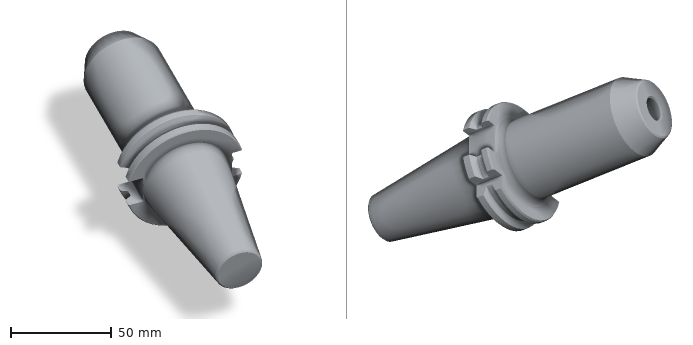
import cadquery as cq
import math

total_length = 168.4

body_radius = 20.97
nose_radius = 15.5
nose_cone_end = 12.5
nose_chamfer_length = 0.5
nose_chamfer_depth = 0.8

neck_radius = 20.9
neck_start = 76.8
neck_step = 0.8
collar_fillet = 3.0
collar_radius = 24.8
collar_chamfer = 0.2

flange_radius = 31.75
flange_start = 80.7
flange_width = 15.8
flange_end = flange_start + flange_width
front_edge_chamfer = 1.0
front_edge_depth = 0.5
rear_edge_chamfer = 0.5
groove_floor_radius = 28.3
groove_center = 88.66
groove_floor_width = 3.4
groove_flank_angle = 30.0
groove_bevel_length = 0.5
groove_bevel_depth = 0.2

taper_ratio = 7 / 24
tail_radius = 12.5
tail_chamfer = 0.8

slot_start = neck_start + neck_step
slot_length = flange_end - slot_start
slot_width = 16.2
slot_corner_radius = 0.7
deep_slot_floor = 22.7
shallow_slot_floor = 25.0
notch_offset = 18.5

bore_diameter = 12.0
bore_depth = 45.5
bore_chamfer = 0.8


def turned_body():
    """Revolve the full outer profile about X."""
    groove_half_floor = groove_floor_width / 2
    groove_depth = flange_radius - groove_floor_radius
    flank_slope = math.tan(math.radians(groove_flank_angle))
    groove_half_top = groove_half_floor + groove_depth * flank_slope
    groove_half_bevel = groove_half_top - groove_bevel_depth * flank_slope
    fillet_end_x = flange_start - collar_chamfer
    fillet_start_x = fillet_end_x - collar_fillet
    fillet_end_radius = neck_radius + collar_fillet
    arc_sag = collar_fillet * math.sin(math.radians(45))
    fillet_middle = (fillet_start_x + arc_sag, fillet_end_radius - arc_sag)
    taper_start_radius = tail_radius + (total_length - flange_end) * taper_ratio / 2
    tail_edge_radius = tail_radius + tail_chamfer * taper_ratio / 2

    profile = (
        cq.Workplane("XY")
        .lineTo(0, nose_radius - nose_chamfer_depth)
        .lineTo(nose_chamfer_length, nose_radius)
        .lineTo(nose_cone_end, body_radius)
        .lineTo(neck_start, body_radius)
        .lineTo(neck_start + neck_step, neck_radius)
        .lineTo(fillet_start_x, neck_radius)
        .threePointArc(fillet_middle, (fillet_end_x, fillet_end_radius))
        .lineTo(flange_start, collar_radius)
        .lineTo(flange_start, flange_radius - front_edge_depth)
        .lineTo(flange_start + front_edge_chamfer, flange_radius)
        .lineTo(groove_center - groove_half_top - groove_bevel_length, flange_radius)
        .lineTo(groove_center - groove_half_bevel, flange_radius - groove_bevel_depth)
        .lineTo(groove_center - groove_half_floor, groove_floor_radius)
        .lineTo(groove_center + groove_half_floor, groove_floor_radius)
        .lineTo(groove_center + groove_half_top, flange_radius)
        .lineTo(flange_end - rear_edge_chamfer, flange_radius)
        .lineTo(flange_end, flange_radius - rear_edge_chamfer)
        .lineTo(flange_end, taper_start_radius)
        .lineTo(total_length - tail_chamfer, tail_edge_radius)
        .lineTo(total_length, tail_edge_radius - tail_chamfer)
        .lineTo(total_length, 0)
        .close()
    )
    return profile.revolve(360, (0, 0, 0), (1, 0, 0))


def drive_slot(side, floor):
    """Slot cutter on the +Y (side = 1) or -Y (side = -1) flank of the flange."""
    cutter = (
        cq.Workplane("XY")
        .box(slot_length, flange_radius, slot_width, centered=(False, False, True))
        .faces("<Y").edges("|X").fillet(slot_corner_radius)
        .translate((slot_start, floor, 0))
    )
    return cutter if side > 0 else cutter.mirror("XZ")


def orientation_notch():
    """Square-cornered notch in the +Y, -Z quadrant of the flange."""
    return (
        cq.Workplane("XY")
        .box(flange_width, flange_radius, flange_radius, centered=False)
        .translate((flange_start, notch_offset, -notch_offset - flange_radius))
    )


def front_bore():
    """Blind bore from the nose face with a chamfered mouth."""
    bore_radius = bore_diameter / 2
    return (
        cq.Workplane("XY")
        .lineTo(0, bore_radius + bore_chamfer)
        .lineTo(bore_chamfer, bore_radius)
        .lineTo(bore_depth, bore_radius)
        .lineTo(bore_depth, 0)
        .close()
        .revolve(360, (0, 0, 0), (1, 0, 0))
    )


result = (
    turned_body()
    .cut(drive_slot(1, shallow_slot_floor))
    .cut(drive_slot(-1, deep_slot_floor))
    .cut(orientation_notch())
    .cut(front_bore())
)